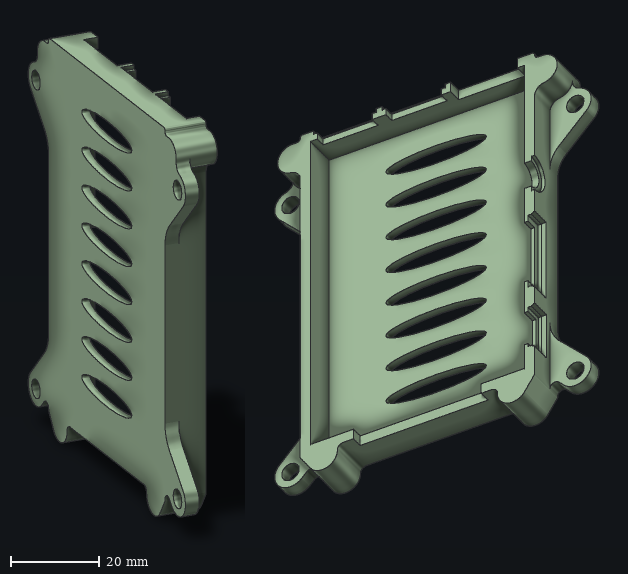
import cadquery as cq
import math


half_width = 30.9
height = 90.7
depth = 10.3
floor_thickness = 2.0
wall = 2.7
corner_radius = 0.7

boss_x = 32.9
boss_z = 85.1
post_radius = 3.9
boss_fillet = 2.9
boss_top_fillet = 0.9

foot_x = 25.0
foot_z = -1.6
foot_outer_round = 1.0
foot_inner_fillet = 1.5

overall_width = 83.45
ear_x = 37.5
ear_radius = overall_width / 2 - ear_x
ear_thickness = 3.5
ear_plate_low_z = 0.34
lower_ear_z = 2.9
upper_ear_z = 78.0
ear_hole_diameter = 4.5
ear_wall_fillet = 8.0
ear_foot_fillet = 1.3
ear_boss_fillet = 2.5

slot_count = 8
slot_half_length = 13.2
slot_half_height = 2.5
lowest_slot_z = 14.4
highest_slot_z = 78.9

open_cutout = (-26.4, -8.8, 3.6)
stepped_cutouts = [(-6.3, 8.3, 2.6), (11.9, 26.4, 2.6)]
step_margin = 1.1
step_floor_margin = 0.7
step_depth = 1.0

card_half_width = 16.8
card_opening_depth = 3.0

side_cutouts = [
    (24.7, 46.0, 5.0, 27.0, 43.8, 2.9),
    (8.0, 20.1, 5.2, 9.3, 18.4, 3.6),
]
side_recess_depth = 1.7
side_taper_depth = 0.9
side_taper = 0.6

jack_z = 56.9
jack_recess_radius = 4.8
jack_opening_radius = 3.6
jack_above_rim = 0.2
jack_recess_depth = 0.9

cut_margin = 1.0


def plan(thickness):
    """Workplane whose sketch is in X and Z and which extrudes from Y = 0 to +Y."""
    return cq.Workplane("XZ", origin=(0, thickness, 0))


def disc(x, z, radius, thickness):
    return plan(thickness).center(x, z).circle(radius).extrude(thickness)


def box(x0, x1, y0, y1, z0, z1):
    return cq.Workplane("XY").box(x1 - x0, y1 - y0, z1 - z0, centered=False).translate((x0, y0, z0))


def round_corner(solid, x, z, radius):
    """Round the depth-wise edge that passes through (x, z)."""
    tolerance = 0.05
    selector = cq.selectors.BoxSelector(
        (x - tolerance, -cut_margin, z - tolerance),
        (x + tolerance, depth + cut_margin, z + tolerance),
    )
    return solid.edges("|Y").edges(selector).fillet(radius)


def with_mirror(solid):
    """Join a solid with its reflection in X = 0."""
    return solid.union(solid.mirror("YZ"))


def body_half():
    """Right half of the full-depth outline: wall, upper boss and foot."""
    half = box(0, half_width, 0, depth, 0, height)

    boss_top = boss_z + post_radius
    half = half.union(disc(boss_x, boss_z, post_radius, depth))
    half = half.union(box(half_width - wall, boss_x, 0, depth, boss_z, boss_top))

    corner_dx = half_width - foot_x
    corner_dz = -foot_z
    corner_distance = math.hypot(corner_dx, corner_dz)
    tangent_angle = math.atan2(corner_dz, corner_dx) - math.acos(post_radius / corner_distance)
    tangent = (
        foot_x + post_radius * math.cos(tangent_angle),
        foot_z + post_radius * math.sin(tangent_angle),
    )
    flank = [(foot_x, foot_z), tangent, (half_width, 0), (foot_x, wall)]
    half = half.union(disc(foot_x, foot_z, post_radius, depth))
    half = half.union(plan(depth).polyline(flank).close().extrude(depth))

    boss_wall_z = boss_z - math.sqrt(post_radius**2 - (boss_x - half_width) ** 2)
    foot_wall_x = foot_x - math.sqrt(post_radius**2 - foot_z**2)
    half = round_corner(half, half_width, boss_wall_z, boss_fillet)
    half = round_corner(half, half_width, boss_top, boss_top_fillet)
    half = round_corner(half, half_width, height, corner_radius)
    half = round_corner(half, half_width, 0, foot_outer_round)
    return round_corner(half, foot_wall_x, 0, foot_inner_fillet)


def ear_boss_blend():
    """Web between the upper ear and the boss, hollowed by an arc tangent to both."""
    dx = boss_x - ear_x
    dz = boss_z - upper_ear_z
    distance = math.hypot(dx, dz)
    ear_reach = ear_radius + ear_boss_fillet
    boss_reach = post_radius + ear_boss_fillet
    turn = math.acos((ear_reach**2 + distance**2 - boss_reach**2) / (2 * ear_reach * distance))
    angle = math.atan2(dz, dx) - turn
    arc_x = ear_x + ear_reach * math.cos(angle)
    arc_z = upper_ear_z + ear_reach * math.sin(angle)

    def toward(x, z):
        """Point of the blend arc on the line from its centre to (x, z)."""
        share = ear_boss_fillet / math.hypot(x - arc_x, z - arc_z)
        return (arc_x + share * (x - arc_x), arc_z + share * (z - arc_z))

    ear_tangent = toward(ear_x, upper_ear_z)
    boss_tangent = toward(boss_x, boss_z)
    middle = toward((ear_tangent[0] + boss_tangent[0]) / 2, (ear_tangent[1] + boss_tangent[1]) / 2)
    return (
        plan(ear_thickness)
        .moveTo(ear_x, upper_ear_z)
        .lineTo(*ear_tangent)
        .threePointArc(middle, boss_tangent)
        .lineTo(boss_x, boss_z)
        .lineTo(half_width - wall, upper_ear_z - ear_radius)
        .close()
        .extrude(ear_thickness)
    )


def ear_plate_half():
    """Right half of the low plate that carries the ears on arms at 45 degrees."""
    plate = box(0, half_width, 0, ear_thickness, ear_plate_low_z, boss_z)
    offset = ear_radius * math.sqrt(0.5)
    reach = ear_x - half_width + wall
    for z, side in ((lower_ear_z, 1), (upper_ear_z, -1)):
        outer = (ear_x + offset, z + side * offset)
        inner = (ear_x - offset, z - side * offset)
        outer_end = (outer[0] - 2 * reach, outer[1] + side * 2 * reach)
        inner_end = (inner[0] - reach, inner[1] + side * reach)
        arm_outline = [outer, outer_end, inner_end, inner]
        plate = plate.union(disc(ear_x, z, ear_radius, ear_thickness))
        plate = plate.union(plan(ear_thickness).polyline(arm_outline).close().extrude(ear_thickness))
        outer_corner_z = outer[1] + side * (outer[0] - half_width)
        plate = round_corner(plate, half_width, outer_corner_z, ear_wall_fillet)
    inner_corner_z = lower_ear_z - offset + (ear_x - offset - half_width)
    plate = round_corner(plate, half_width, inner_corner_z, ear_foot_fillet)
    return plate.union(ear_boss_blend())


def ear_holes():
    return (
        plan(ear_thickness)
        .pushPoints([(x, z) for x in (-ear_x, ear_x) for z in (lower_ear_z, upper_ear_z)])
        .circle(ear_hole_diameter / 2)
        .extrude(ear_thickness)
    )


def slots():
    pitch = (highest_slot_z - lowest_slot_z) / (slot_count - 1)
    return (
        plan(floor_thickness)
        .pushPoints([(0, lowest_slot_z + i * pitch) for i in range(slot_count)])
        .ellipse(slot_half_length, slot_half_height)
        .extrude(floor_thickness)
    )


def rim_notch(x0, x1, drop, z0, z1):
    """Block that opens a wall from the rim down by the given drop."""
    return box(x0, x1, depth - drop, depth + cut_margin, z0, z1)


def upper_wall_cutouts():
    inside = height - wall
    outside = height + cut_margin
    cut = rim_notch(*open_cutout, inside, outside)
    for x0, x1, drop in stepped_cutouts:
        cut = cut.union(rim_notch(x0, x1, drop, inside, outside))
        step = rim_notch(
            x0 - step_margin, x1 + step_margin, drop + step_floor_margin, height - step_depth, outside
        )
        cut = cut.union(step)
    return cut


def card_opening():
    return rim_notch(-card_half_width, card_half_width, card_opening_depth, 0, wall)


def side_cutout(low, high, drop, opening_low, opening_high, opening_drop):
    """Tapered recess in the outer face with a smaller opening through its floor."""
    outer_face = -half_width
    inner_face = outer_face + wall
    taper_end = outer_face + side_taper_depth

    def recess_section(x, inset):
        y = depth - drop + inset
        corners = [
            cq.Vector(x, y, low + inset),
            cq.Vector(x, depth + cut_margin, low + inset),
            cq.Vector(x, depth + cut_margin, high - inset),
            cq.Vector(x, y, high - inset),
        ]
        return cq.Wire.makePolygon(corners, close=True)

    mouth = cq.Solid.makeLoft([recess_section(outer_face, 0), recess_section(taper_end, side_taper)], True)
    seat = rim_notch(
        taper_end, outer_face + side_recess_depth, drop - side_taper, low + side_taper, high - side_taper
    )
    opening = rim_notch(outer_face, inner_face, opening_drop, opening_low, opening_high)
    return seat.union(cq.Workplane(mouth)).union(opening)


def jack_cutout():
    centre = (-half_width, depth + jack_above_rim, jack_z)
    face = cq.Workplane("YZ", origin=centre)
    recess = face.circle(jack_recess_radius).extrude(jack_recess_depth)
    opening = face.circle(jack_opening_radius).extrude(wall)
    return recess.union(opening)


inner_half_width = half_width - wall
cavity = box(-inner_half_width, inner_half_width, floor_thickness, depth, wall, height - wall)

result = with_mirror(body_half()).union(with_mirror(ear_plate_half()))
result = result.cut(cavity).cut(slots()).cut(ear_holes())
result = result.cut(upper_wall_cutouts()).cut(card_opening()).cut(jack_cutout())
for cutout in side_cutouts:
    result = result.cut(side_cutout(*cutout))